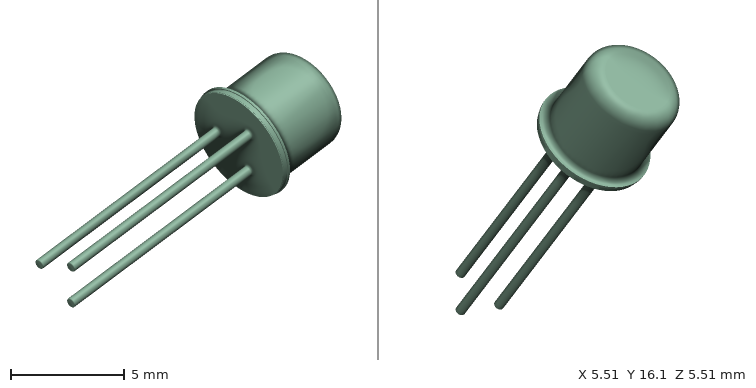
import cadquery as cq
import math


MID_ARC = math.sqrt(0.5)

overall_length = 16.15

cap_height = 4.59
can_radius = 2.35
dome_fillet = 0.75
flange_radius = 2.754
flange_top = 0.39
flange_bottom = 0.27
flange_fillet = 0.27
skirt_radius = 2.7

header_radius = 2.55
header_thickness = flange_bottom
lip_radius = 2.68
lip_thickness = 0.05

lead_count = 3
lead_circle_radius = 1.28
lead_radius = 0.234
lead_length = overall_length - cap_height
lead_flare = 0.13
lead_tip_fillet = 0.05


def make_cap():
    """Revolved solid can with flange, skirt and a recess that holds the header."""
    flange_arc_offset = flange_fillet * (1 - MID_ARC)
    dome_arc_offset = dome_fillet * (1 - MID_ARC)
    return (
        cq.Workplane("XY")
        .moveTo(0, header_thickness)
        .lineTo(header_radius, header_thickness)
        .lineTo(header_radius, lip_thickness)
        .lineTo(skirt_radius, lip_thickness)
        .lineTo(skirt_radius, flange_bottom)
        .lineTo(flange_radius, flange_bottom)
        .lineTo(flange_radius, flange_top)
        .lineTo(can_radius + flange_fillet, flange_top)
        .threePointArc(
            (can_radius + flange_arc_offset, flange_top + flange_arc_offset),
            (can_radius, flange_top + flange_fillet),
        )
        .lineTo(can_radius, cap_height - dome_fillet)
        .threePointArc(
            (can_radius - dome_arc_offset, cap_height - dome_arc_offset),
            (can_radius - dome_fillet, cap_height),
        )
        .lineTo(0, cap_height)
        .close()
        .revolve(360, (0, 0, 0), (0, 1, 0))
    )


def make_lead():
    """Half profile revolved about the lead axis: flared root and rounded tip."""
    tip_arc_offset = lead_tip_fillet * (1 - MID_ARC)
    flare_arc_offset = lead_flare * (1 - MID_ARC)
    return (
        cq.Workplane("XY")
        .moveTo(0, 0)
        .lineTo(lead_radius + lead_flare, 0)
        .threePointArc(
            (lead_radius + flare_arc_offset, -flare_arc_offset),
            (lead_radius, -lead_flare),
        )
        .lineTo(lead_radius, lead_tip_fillet - lead_length)
        .threePointArc(
            (lead_radius - tip_arc_offset, tip_arc_offset - lead_length),
            (lead_radius - lead_tip_fillet, -lead_length),
        )
        .lineTo(0, -lead_length)
        .close()
        .revolve(360, (0, 0, 0), (0, 1, 0))
    )


def make_header():
    """Header plug and lip with its leads equally spaced, the first one on the -X side."""
    lip = cq.Workplane("XZ").circle(lip_radius).extrude(-lip_thickness)
    body = cq.Workplane("XZ").circle(header_radius).extrude(-header_thickness).union(lip)
    for index in range(lead_count):
        angle = math.pi + index * 2 * math.pi / lead_count
        lead_x = lead_circle_radius * math.cos(angle)
        lead_z = lead_circle_radius * math.sin(angle)
        body = body.union(make_lead().translate((lead_x, 0, lead_z)))
    return body


cap = make_cap()
header = make_header()

result = cq.Compound.makeCompound([cap.val(), header.val()])